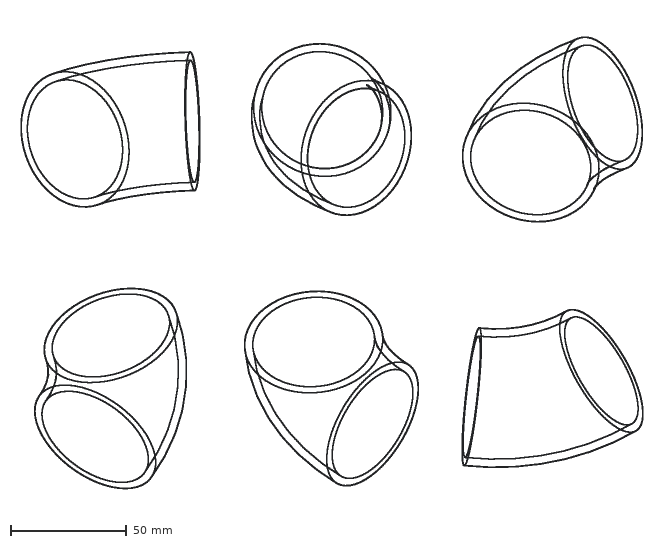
import cadquery as cq
import math

overall_length = 75.05
outer_diameter = 60.3
wall_thickness = 3.6
bend_angle = 45.0

outer_radius = outer_diameter / 2
inner_radius = outer_radius - wall_thickness

bend_radius = overall_length / math.sin(math.radians(bend_angle)) - outer_radius


def pipe_section():
    """Annular end face in the XZ plane, centred on the origin."""
    return cq.Workplane("XZ").circle(outer_radius).circle(inner_radius)


axis_start = (bend_radius, 0, 0)
axis_end = (bend_radius, -1, 0)
result = pipe_section().revolve(bend_angle, axis_start, axis_end)